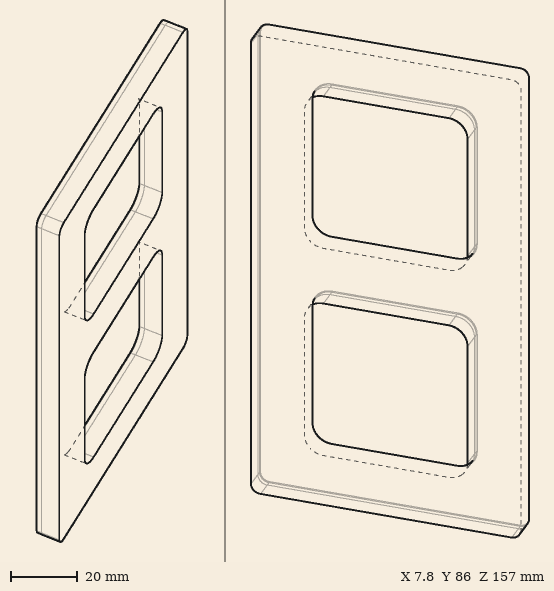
import cadquery as cq
import math

thickness = 7.8
width = 86.0
opening_pitch = 71.0
height = width + opening_pitch
corner_radius = 3.0

opening_size = 52.0
opening_radius = 6.0

band_depth = 1.75
draft_angle = 1.0
draft_inset = band_depth * math.tan(math.radians(draft_angle))

front_edge_radius = 0.25


def rounded_block(size_y, size_z, radius, depth):
    """Block from X = 0 to X = depth with its four X-direction edges rounded."""
    block = cq.Workplane("YZ").rect(size_y, size_z).extrude(depth)
    return block.edges("|X").fillet(radius)


def make_plate():
    """Rounded plate whose outer rim narrows slightly towards the -X face."""
    plate = rounded_block(width, height, corner_radius, thickness)
    return plate.faces("<X").chamfer(band_depth, draft_inset)


def make_opening_cutter():
    """Through cutter for one opening, widening slightly towards the -X face."""
    mouth_size = opening_size + 2 * draft_inset
    mouth_radius = opening_radius + draft_inset
    mouth = rounded_block(mouth_size, mouth_size, mouth_radius, band_depth + thickness)
    mouth = mouth.faces(">X").chamfer(band_depth, draft_inset)
    mouth = mouth.translate((-thickness, 0, 0))
    through = rounded_block(opening_size, opening_size, opening_radius, thickness)
    return through.union(mouth)


def cut_openings(plate):
    """Cut the two openings, placed symmetrically about the middle of the plate."""
    cutter = make_opening_cutter()
    for center_z in (-opening_pitch / 2, opening_pitch / 2):
        plate = plate.cut(cutter.translate((0, 0, center_z)))
    return plate


def round_front_edges(plate):
    """Round the outer edge and the opening edges of the -X face."""
    return plate.faces("<X").edges().fillet(front_edge_radius)


result = round_front_edges(cut_openings(make_plate()))